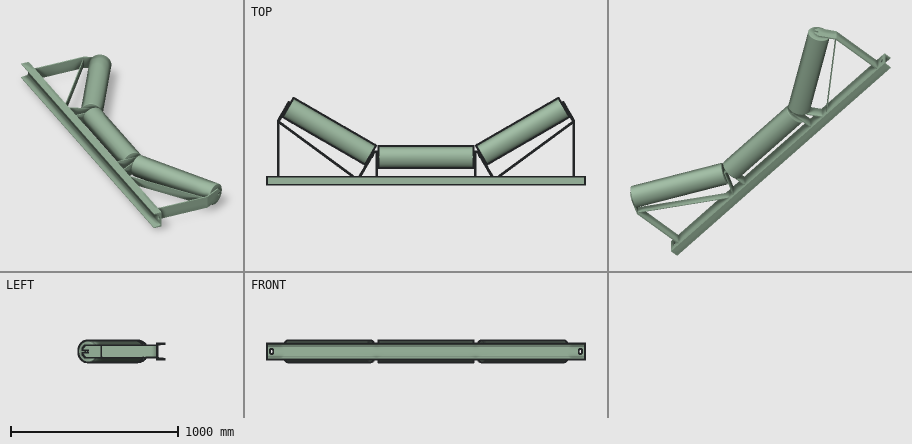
import cadquery as cq
import math

CHANNEL_LENGTH = 1900.0
CHANNEL_HEIGHT = 100.0
CHANNEL_DEPTH = 50.0
WEB_THICKNESS = 6.0
FLANGE_THICKNESS = 8.5
FLANGE_TAPER = 0.08
ROOT_RADIUS = 8.5
TOE_RADIUS = 4.5
MOUNT_SLOT_INSET = 28.0
MOUNT_SLOT_WIDTH = 18.0
MOUNT_SLOT_HEIGHT = 30.0

TROUGH_ANGLE = 30.0
ROLLER_DIAMETER = 133.0
ROLLER_LENGTH = 570.0
ROLLER_EDGE_RADIUS = 3.0
CENTRE_ROLLER_Y = 117.0
TOTAL_DEPTH = 519.3
WING_CORNER_X = 791.0
AXLE_DIAMETER = 18.0
AXLE_FLAT = 14.0

POST_X = 886.5
OUTER_THICKNESS = 8.0
INNER_THICKNESS = 6.0
PLATE_WIDTH = 75.0
PLATE_GAP = 5.0
OUTER_PLATE_REACH = 30.0
INNER_PLATE_TOP = 150.0
TIP_CHAMFER = 20.0

STRUT_THICKNESS = 5.0
STRUT_WIDTH = 50.0
STRUT_FOOT_X = 431.0

SIN = math.sin(math.radians(TROUGH_ANGLE))
COS = math.cos(math.radians(TROUGH_ANGLE))
ROLLER_RADIUS = ROLLER_DIAMETER / 2
PLATE_OFFSET = PLATE_GAP + OUTER_THICKNESS
AXLE_LENGTH = ROLLER_LENGTH + 2 * PLATE_OFFSET

EDGE_DROP = ROLLER_EDGE_RADIUS * (SIN + COS - 1)
WING_CORNER_Y = TOTAL_DEPTH - CHANNEL_DEPTH + EDGE_DROP
WING_OUTER_X = WING_CORNER_X + ROLLER_RADIUS * SIN
WING_OUTER_Y = WING_CORNER_Y - ROLLER_RADIUS * COS
WING_X = WING_OUTER_X - ROLLER_LENGTH / 2 * COS
WING_Y = WING_OUTER_Y - ROLLER_LENGTH / 2 * SIN

POST_INNER_X = POST_X - OUTER_THICKNESS
BEND_ACROSS = (WING_X + (ROLLER_LENGTH / 2 + PLATE_OFFSET) * COS - POST_X) / SIN
BEND_Y = WING_Y + (ROLLER_LENGTH / 2 + PLATE_OFFSET) * SIN + BEND_ACROSS * COS
BEND_INNER_Y = BEND_Y - OUTER_THICKNESS * math.tan(math.radians(TROUGH_ANGLE / 2))


def wing_point(along, across):
    """Point in XY from the wing roller centre: along its axis and square to it."""
    return (WING_X + along * COS - across * SIN, WING_Y + along * SIN + across * COS)


def wing_face_x(along, y):
    """X at height y on the plane square to the wing roller axis."""
    return (WING_X * COS + WING_Y * SIN + along - y * SIN) / COS


def make_plate(outline, width):
    """Plate of the given width and outline in XY."""
    plate = cq.Workplane("XY").workplane(offset=-width / 2)
    return plate.polyline(outline).close().extrude(width)


def mirrored(body):
    """The body and its twin on the other side of X = 0."""
    return [body.val(), body.mirror("YZ").val()]


def make_channel():
    half = CHANNEL_HEIGHT / 2
    mid_y = -CHANNEL_DEPTH / 2
    toe = FLANGE_THICKNESS - FLANGE_TAPER * (mid_y + CHANNEL_DEPTH)
    root = FLANGE_THICKNESS + FLANGE_TAPER * (-WEB_THICKNESS - mid_y)
    section = [
        (0, -half),
        (-CHANNEL_DEPTH, -half),
        (-CHANNEL_DEPTH, toe - half),
        (-WEB_THICKNESS, root - half),
        (-WEB_THICKNESS, half - root),
        (-CHANNEL_DEPTH, half - toe),
        (-CHANNEL_DEPTH, half),
        (0, half),
    ]
    channel = (
        cq.Workplane("YZ", origin=(-CHANNEL_LENGTH / 2, 0, 0))
        .polyline(section)
        .close()
        .extrude(CHANNEL_LENGTH)
    )
    root_edges = cq.selectors.BoxSelector(
        (-CHANNEL_LENGTH, -WEB_THICKNESS - 1, -half + 1), (CHANNEL_LENGTH, -WEB_THICKNESS + 1, half - 1)
    )
    toe_edges = cq.selectors.BoxSelector(
        (-CHANNEL_LENGTH, -CHANNEL_DEPTH - 1, -half + 1), (CHANNEL_LENGTH, -CHANNEL_DEPTH + 1, half - 1)
    )
    channel = channel.edges("|X").edges(root_edges).fillet(ROOT_RADIUS)
    channel = channel.edges("|X").edges(toe_edges).fillet(TOE_RADIUS)
    slot_x = CHANNEL_LENGTH / 2 - MOUNT_SLOT_INSET
    slots = (
        cq.Workplane("XZ")
        .pushPoints([(-slot_x, 0), (slot_x, 0)])
        .slot2D(MOUNT_SLOT_HEIGHT, MOUNT_SLOT_WIDTH, 90)
        .extrude(WEB_THICKNESS)
    )
    return channel.cut(slots)


def make_bar(diameter, length):
    """Round bar along X, centred on the origin."""
    return cq.Workplane("YZ", origin=(-length / 2, 0, 0)).circle(diameter / 2).extrude(length)


def make_axle():
    """Axle with two flats, square to Z."""
    flats = cq.Workplane("XY").box(AXLE_LENGTH, AXLE_DIAMETER, AXLE_FLAT)
    return make_bar(AXLE_DIAMETER, AXLE_LENGTH).intersect(flats)


def make_roller():
    """Roller along X with rounded end edges and projecting axle ends."""
    shell = make_bar(ROLLER_DIAMETER, ROLLER_LENGTH).faces("<X or >X").edges().fillet(ROLLER_EDGE_RADIUS)
    return shell.union(make_axle())


def make_axle_slot():
    """Cutter for the open-topped slots that take both ends of an axle."""
    slot = cq.Workplane("XY").box(AXLE_LENGTH, ROLLER_RADIUS, AXLE_FLAT)
    return slot.translate((0, (ROLLER_RADIUS - AXLE_DIAMETER) / 2, 0))


def place_centre(body):
    return body.translate((0, CENTRE_ROLLER_Y, 0))


def place_wing(body):
    return body.rotate((0, 0, 0), (0, 0, 1), TROUGH_ANGLE).translate((WING_X, WING_Y, 0))


def make_outer_bracket():
    """Upright post whose bent top holds the outer end of a wing roller."""
    near = ROLLER_LENGTH / 2 + PLATE_GAP
    far = near + OUTER_THICKNESS
    bracket = make_plate([
        (POST_X, 0),
        (POST_X, BEND_Y),
        wing_point(far, OUTER_PLATE_REACH),
        wing_point(near, OUTER_PLATE_REACH),
        (POST_INNER_X, BEND_INNER_Y),
        (POST_INNER_X, 0),
    ], PLATE_WIDTH)
    end_face = cq.selectors.DirectionMinMaxSelector(cq.Vector(-SIN, COS, 0), True)
    end_corners = cq.selectors.ParallelDirSelector(cq.Vector(COS, SIN, 0))
    bracket = bracket.faces(end_face).edges(end_corners).chamfer(TIP_CHAMFER)
    return bracket.cut(place_wing(make_axle_slot()))


def make_inner_bracket():
    """Folded plate: an upright leg, a short top and a leg square to the wing roller."""
    leg_near = ROLLER_LENGTH / 2 + PLATE_GAP
    leg_far = leg_near + INNER_THICKNESS
    under_top = INNER_PLATE_TOP - INNER_THICKNESS
    bracket = make_plate([
        (leg_near, 0),
        (leg_near, INNER_PLATE_TOP),
        (wing_face_x(-leg_near, INNER_PLATE_TOP), INNER_PLATE_TOP),
        (wing_face_x(-leg_near, 0), 0),
        (wing_face_x(-leg_far, 0), 0),
        (wing_face_x(-leg_far, under_top), under_top),
        (leg_far, under_top),
        (leg_far, 0),
    ], PLATE_WIDTH)
    slot = make_axle_slot()
    return bracket.cut(place_centre(slot)).cut(place_wing(slot))


def make_strut():
    """Flat brace from the channel up to the bend of the outer bracket."""
    run = POST_INNER_X - STRUT_FOOT_X
    slope = math.atan2(BEND_INNER_Y, run)
    return make_plate([
        (STRUT_FOOT_X, 0),
        (POST_INNER_X, BEND_INNER_Y),
        (POST_INNER_X, BEND_INNER_Y - STRUT_THICKNESS / math.cos(slope)),
        (STRUT_FOOT_X + STRUT_THICKNESS / math.sin(slope), 0),
    ], STRUT_WIDTH)


roller = make_roller()
result = cq.Compound.makeCompound([
    make_channel().val(),
    place_centre(roller).val(),
    *mirrored(place_wing(roller)),
    *mirrored(make_outer_bracket()),
    *mirrored(make_inner_bracket()),
    *mirrored(make_strut()),
])